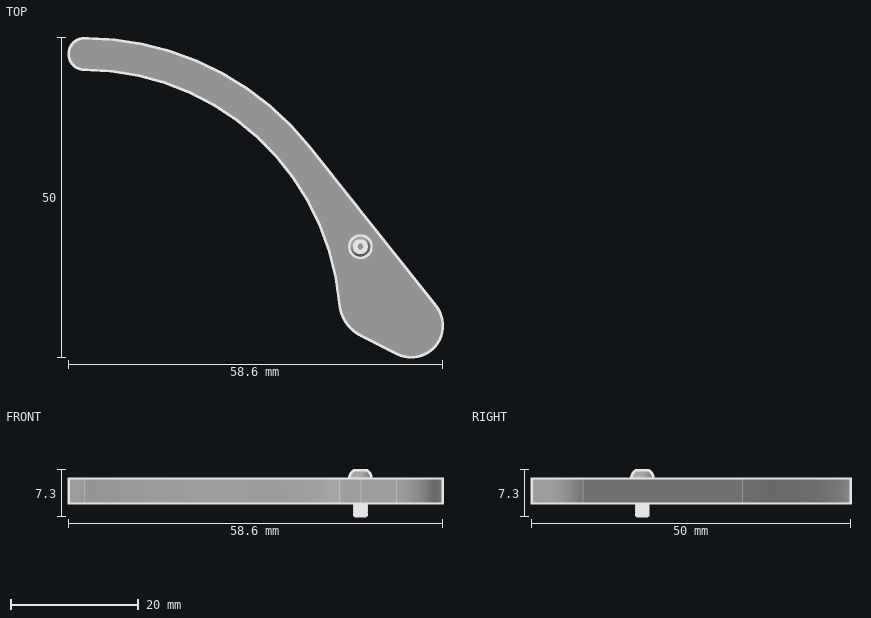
import cadquery as cq
import math

plate_length = 58.65
plate_depth = 50.0
plate_thickness = 4.0
arm_width = 5.0
tip_radius = arm_width / 2
foot_radius = 5.0
foot_x = plate_length - tip_radius - foot_radius
arm_outer_radius = plate_depth - foot_radius
arm_inner_radius = arm_outer_radius - arm_width
heel_radius = 6.2
sole_slope = 27.0

screw_x = 43.2
screw_y = 12.4
screw_length = 6.0
thread_diameter = 2.0
thread_root_diameter = 1.45
thread_pitch = 0.4
thread_crest = 0.05
end_chamfer = 0.25
head_diameter = 3.5
head_top_diameter = 2.0
head_height = 1.3
head_rim_height = 0.2
socket_sides = 6
socket_across_flats = 1.25
socket_mouth_diameter = 1.45
socket_depth = 0.7


def polar(radius, degrees, center=(0.0, 0.0)):
    """Point at a radius and angle from a centre."""
    angle = math.radians(degrees)
    return (center[0] + radius * math.cos(angle), center[1] + radius * math.sin(angle))


def make_plate():
    foot_center = (foot_x, 0.0)

    back_angle = math.degrees(math.acos((arm_outer_radius - foot_radius) / foot_x))

    sole_angle = 270 - sole_slope
    sole_end = polar(foot_radius, sole_angle, foot_center)

    sole_normal = polar(1, sole_angle)
    sole_distance = sole_end[0] * sole_normal[0] + sole_end[1] * sole_normal[1]
    heel_orbit = arm_inner_radius + heel_radius
    heel_offset = math.degrees(math.acos((sole_distance - heel_radius) / heel_orbit))
    heel_angle = sole_angle + heel_offset - 360
    heel_center = polar(heel_orbit, heel_angle)
    heel_mid_angle = (180 + heel_angle + sole_angle) / 2

    arm_top = 90
    outline = (
        cq.Workplane("XY")
        .moveTo(*polar(arm_outer_radius, arm_top))
        .threePointArc(
            polar(arm_outer_radius, (arm_top + back_angle) / 2),
            polar(arm_outer_radius, back_angle),
        )
        .lineTo(*polar(foot_radius, back_angle, foot_center))
        .threePointArc(
            polar(foot_radius, (back_angle + sole_angle - 360) / 2, foot_center),
            sole_end,
        )
        .lineTo(*polar(heel_radius, sole_angle, heel_center))
        .threePointArc(
            polar(heel_radius, heel_mid_angle, heel_center),
            polar(arm_inner_radius, heel_angle),
        )
        .threePointArc(
            polar(arm_inner_radius, (arm_top + heel_angle) / 2),
            polar(arm_inner_radius, arm_top),
        )
        .threePointArc(
            (-tip_radius, arm_inner_radius + tip_radius),
            polar(arm_outer_radius, arm_top),
        )
        .close()
    )
    plate = outline.extrude(plate_thickness)
    screw_hole = (
        cq.Workplane("XY")
        .center(screw_x, screw_y)
        .circle(thread_diameter / 2)
        .extrude(plate_thickness)
    )
    return plate.cut(screw_hole)


def make_shank():
    """Shank from z = -screw_length to 0, its thread formed as a stack of V-shaped ridges."""
    crest = thread_diameter / 2
    root = thread_root_diameter / 2
    flank = thread_pitch / 2 - thread_crest
    ridge_count = int((screw_length - end_chamfer) / thread_pitch)

    profile = cq.Workplane("XZ").lineTo(crest, 0)
    for ridge in range(ridge_count):
        top = -ridge * thread_pitch
        profile = (
            profile
            .lineTo(crest, top - thread_crest)
            .lineTo(root, top - thread_crest - flank)
            .lineTo(root, top - 2 * thread_crest - flank)
            .lineTo(crest, top - thread_pitch)
        )
    profile = (
        profile
        .lineTo(crest, end_chamfer - screw_length)
        .lineTo(crest - end_chamfer, -screw_length)
        .lineTo(0, -screw_length)
        .close()
    )
    return profile.revolve(360, (0, 0, 0), (0, 1, 0))


def make_head():
    """Domed head on z = 0 with a countersunk hexagon socket in its flat top."""
    rim = head_diameter / 2
    top = head_top_diameter / 2

    dome_rise = head_height - head_rim_height
    center_drop = (rim**2 - top**2 - dome_rise**2) / (2 * dome_rise)
    dome_radius = math.hypot(rim, center_drop)
    rim_angle = math.degrees(math.atan2(center_drop, rim))
    top_angle = math.degrees(math.atan2(center_drop + dome_rise, top))
    dome_center = (0, head_rim_height - center_drop)

    head = (
        cq.Workplane("XZ")
        .lineTo(rim, 0)
        .lineTo(rim, head_rim_height)
        .threePointArc(
            polar(dome_radius, (rim_angle + top_angle) / 2, dome_center),
            (top, head_height),
        )
        .lineTo(0, head_height)
        .close()
        .revolve(360, (0, 0, 0), (0, 1, 0))
    )
    socket_across_corners = socket_across_flats / math.cos(math.pi / socket_sides)
    socket = (
        cq.Workplane("XY")
        .workplane(offset=head_height - socket_depth)
        .polygon(socket_sides, socket_across_corners)
        .extrude(socket_depth)
    )
    inscribed_radius = socket_across_flats / 2
    mouth_radius = socket_mouth_diameter / 2
    mouth_depth = mouth_radius - inscribed_radius
    mouth_base = cq.Vector(0, 0, head_height - mouth_depth)
    mouth = cq.Workplane(
        cq.Solid.makeCone(inscribed_radius, mouth_radius, mouth_depth, mouth_base)
    )
    return head.cut(socket).cut(mouth)


def make_screw():
    screw = make_shank().union(make_head())
    return screw.translate((screw_x, screw_y, plate_thickness))


plate = make_plate()
screw = make_screw()

result = cq.Compound.makeCompound([plate.val(), screw.val()])